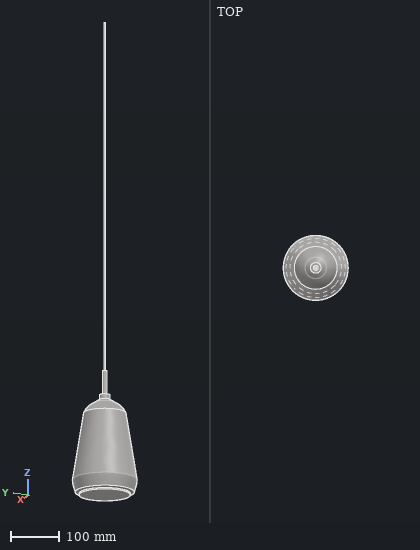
import cadquery as cq

total_height = 1011.0
shade_radius = 68.0

rim_radius = 54.0
rim_height = 3.0
belly_bottom_radius = 62.0
belly_bottom_height = 6.0
belly_height = 32.0
belly_bulge = 1.0
shoulder_radius = 45.0
shoulder_height = 175.0
crown_radius = 22.0
crown_height = 197.0
dome_bulge = 4.0
shade_top = 204.0

collar_radius = 11.0
collar_top = 214.0
stem_radius = 5.0
stem_top = 266.0
cable_radius = 2.0


def bulged_midpoint(start, end, bulge):
    """Midpoint of a chord, moved outward along +X by the given bulge."""
    return ((start[0] + end[0]) / 2 + bulge, (start[1] + end[1]) / 2)


def make_shade():
    """Solid of revolution: rim, rounded belly, tapered wall, dome and conical crown."""
    belly_bottom = (belly_bottom_radius, belly_bottom_height)
    belly = (shade_radius, belly_height)
    shoulder = (shoulder_radius, shoulder_height)
    crown = (crown_radius, crown_height)
    profile = (
        cq.Workplane("XZ")
        .lineTo(rim_radius, 0)
        .lineTo(rim_radius, rim_height)
        .lineTo(*belly_bottom)
        .threePointArc(bulged_midpoint(belly_bottom, belly, belly_bulge), belly)
        .lineTo(*shoulder)
        .threePointArc(bulged_midpoint(shoulder, crown, dome_bulge), crown)
        .lineTo(collar_radius, shade_top)
        .lineTo(0, shade_top)
        .close()
    )
    return profile.revolve(360, (0, 0, 0), (0, 1, 0))


def make_cylinder(radius, bottom, top):
    """Upright cylinder centred on the lamp axis."""
    return cq.Workplane("XY").workplane(offset=bottom).circle(radius).extrude(top - bottom)


collar = make_cylinder(collar_radius, shade_top, collar_top)
stem = make_cylinder(stem_radius, collar_top, stem_top)
cable = make_cylinder(cable_radius, stem_top, total_height)

result = make_shade().union(collar).union(stem).union(cable)